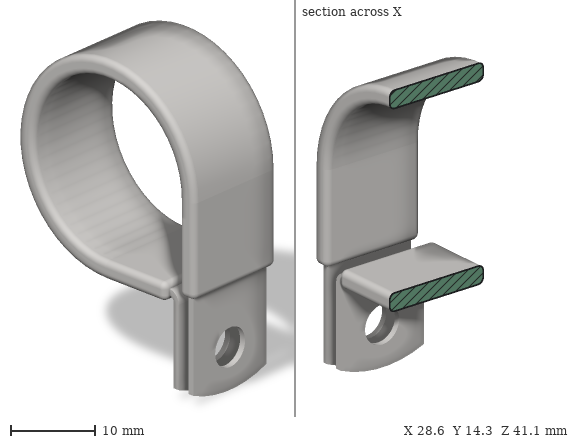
import cadquery as cq
import math

overall_height = 41.05
loop_diameter = 28.6
sheath_width = 14.3
sheath_wall = 2.42
lower_sheath_end_x = 9.6
lower_tab_outer_x = 11.1
hole_diameter = 5.17
hole_center_z = -21.18
tab_end_sag = 1.3

outer_radius = loop_diameter / 2
inner_radius = outer_radius - sheath_wall
middle_radius = outer_radius - sheath_wall / 2
strip_thickness = sheath_wall / 3
edge_radius = strip_thickness
strip_width = sheath_width - 2 * edge_radius
strip_inner_radius = middle_radius - strip_thickness / 2
strip_outer_radius = middle_radius + strip_thickness / 2
side_sheath_end_z = -strip_inner_radius
tab_tip_z = outer_radius - overall_height
tab_corner_z = tab_tip_z + tab_end_sag
bend_inner_radius = strip_thickness
bend_outer_radius = bend_inner_radius + strip_thickness
diagonal = math.sqrt(0.5)


def extrude_centered(profile, width):
    """Extrude an XZ outline equally to both sides of the Y = 0 plane."""
    return profile.extrude(width / 2, both=True)


def make_sheath():
    """Three-quarter loop with straight ends and every exposed edge rounded."""
    profile = (
        cq.Workplane("XZ")
        .moveTo(lower_sheath_end_x, -outer_radius)
        .lineTo(0, -outer_radius)
        .threePointArc((-outer_radius * diagonal, outer_radius * diagonal), (outer_radius, 0))
        .lineTo(outer_radius, side_sheath_end_z)
        .lineTo(inner_radius, side_sheath_end_z)
        .lineTo(inner_radius, 0)
        .threePointArc((-inner_radius * diagonal, inner_radius * diagonal), (0, -inner_radius))
        .lineTo(lower_sheath_end_x, -inner_radius)
        .close()
    )
    sheath = extrude_centered(profile, sheath_width)
    rim_edges = sheath.faces("<Y or >Y").edges()
    lower_end_edges = sheath.faces(cq.selectors.NearestToPointSelector(
        (lower_sheath_end_x, 0, -middle_radius))).edges("|Y")
    side_end_edges = sheath.faces(cq.selectors.NearestToPointSelector(
        (middle_radius, 0, side_sheath_end_z))).edges("|Y")
    return rim_edges.add(lower_end_edges).add(side_end_edges).fillet(edge_radius)


def make_strip():
    """Metal strip running through the sheath, with both tabs hanging down."""
    tab_inner_x = lower_tab_outer_x - strip_thickness
    bend_x = lower_tab_outer_x - bend_outer_radius
    bend_z = -strip_inner_radius - bend_outer_radius
    profile = (
        cq.Workplane("XZ")
        .moveTo(0, -strip_outer_radius)
        .threePointArc(
            (-strip_outer_radius * diagonal, strip_outer_radius * diagonal), (strip_outer_radius, 0))
        .lineTo(strip_outer_radius, tab_tip_z)
        .lineTo(strip_inner_radius, tab_tip_z)
        .lineTo(strip_inner_radius, 0)
        .threePointArc(
            (-strip_inner_radius * diagonal, strip_inner_radius * diagonal), (0, -strip_inner_radius))
        .lineTo(bend_x, -strip_inner_radius)
        .threePointArc(
            (bend_x + bend_outer_radius * diagonal, bend_z + bend_outer_radius * diagonal),
            (lower_tab_outer_x, bend_z))
        .lineTo(lower_tab_outer_x, tab_tip_z)
        .lineTo(tab_inner_x, tab_tip_z)
        .lineTo(tab_inner_x, bend_z)
        .threePointArc(
            (bend_x + bend_inner_radius * diagonal, bend_z + bend_inner_radius * diagonal),
            (bend_x, -strip_outer_radius))
        .close()
    )
    return extrude_centered(profile, strip_width)


def make_strip_envelope():
    """Strip outline across its width, with the arched tab ends."""
    half_width = strip_width / 2
    return (
        cq.Workplane("YZ")
        .moveTo(-half_width, outer_radius)
        .lineTo(-half_width, tab_corner_z)
        .threePointArc((0, tab_tip_z), (half_width, tab_corner_z))
        .lineTo(half_width, outer_radius)
        .close()
        .extrude(outer_radius, both=True)
    )


def make_bolt_hole():
    """Bolt clearance through both tabs."""
    return (
        cq.Workplane("YZ")
        .center(0, hole_center_z)
        .circle(hole_diameter / 2)
        .extrude(outer_radius)
    )


strip = make_strip().intersect(make_strip_envelope()).cut(make_bolt_hole())
result = make_sheath().union(strip)